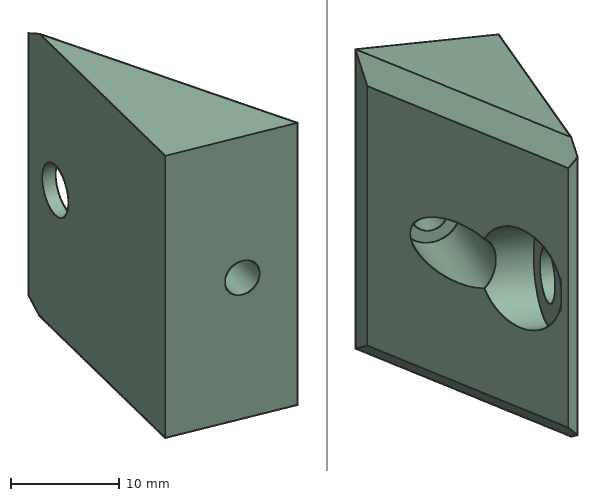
import cadquery as cq
import math

base_length = 30.0
full_rise = 16.0
height = 30.0
chamfer = 2.0
overcut = 1.0

base_hole_x = 7.5
base_hole_diameter = 5.3
head_diameter = 9.9
head_seat_y = 1.4

back_hole_y = 8.0
back_hole_diameter = 3.6
back_counterbore_diameter = 6.0
back_wall = 5.0

middle_z = height / 2
wedge_angle = math.atan(full_rise / base_length)
thickness = full_rise - chamfer / math.cos(wedge_angle)
slope_end_x = thickness / math.tan(wedge_angle)


def wedge():
    """Wedge profile with its nose chamfered equally along the base and the slope."""
    nose = (chamfer * math.cos(wedge_angle), chamfer * math.sin(wedge_angle))
    return (
        cq.Workplane("XY")
        .moveTo(chamfer, 0)
        .lineTo(base_length, 0)
        .lineTo(base_length, thickness)
        .lineTo(slope_end_x, thickness)
        .lineTo(*nose)
        .close()
        .extrude(height)
    )


def slope_edge_cutter(edge_z, inward):
    """Triangular prism along the slope that chamfers its edge at edge_z."""
    along_slope = (math.cos(wedge_angle), math.sin(wedge_angle), 0)
    out_of_slope = (-math.sin(wedge_angle), math.cos(wedge_angle), 0)
    section = cq.Plane(origin=(0, 0, edge_z), xDir=out_of_slope, normal=along_slope)
    reach = chamfer + overcut
    cutter_length = base_length / math.cos(wedge_angle) + reach
    return (
        cq.Workplane(section)
        .moveTo(-reach, -inward * overcut)
        .lineTo(overcut, inward * reach)
        .lineTo(overcut, -inward * overcut)
        .close()
        .extrude(cutter_length)
    )


def cylinder(start, direction, diameter, length):
    """Cylinder from a start point along a direction."""
    solid = cq.Solid.makeCylinder(diameter / 2, length, cq.Vector(*start), cq.Vector(*direction))
    return cq.Workplane(solid)


def base_screw_hole():
    """Clearance hole through the base with a head pocket opening on the slope."""
    along_y = (0, 1, 0)
    bore = cylinder(
        (base_hole_x, -overcut, middle_z), along_y, base_hole_diameter, thickness + 2 * overcut
    )
    head = cylinder((base_hole_x, head_seat_y, middle_z), along_y, head_diameter, thickness)
    return bore.union(head)


def back_screw_hole():
    """Clearance hole through the back face with a counterbore opening on the slope."""
    along_x = (1, 0, 0)
    start = (0, back_hole_y, middle_z)
    bore = cylinder(start, along_x, back_hole_diameter, base_length + overcut)
    counterbore = cylinder(start, along_x, back_counterbore_diameter, base_length - back_wall)
    return bore.union(counterbore)


result = wedge()
result = result.cut(slope_edge_cutter(0, 1))
result = result.cut(slope_edge_cutter(height, -1))
result = result.cut(base_screw_hole())
result = result.cut(back_screw_hole())